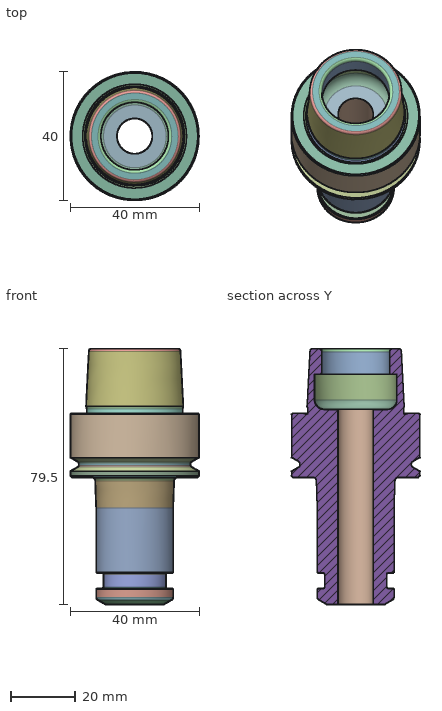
import cadquery as cq
import math


total_height = 79.5
through_bore_diameter = 10.9

pilot_diameter = 24.0
pilot_groove_diameter = 19.5
pilot_groove_bottom = 5.1
pilot_groove_top = 9.8
pilot_groove_fillet = 0.4
pilot_groove_chamfer = 0.3
nose_diameter = 18.0
nose_angle = 30.0
nose_fillet = 1.0

neck_bottom = 30.1
neck_top_diameter = 24.65
neck_fillet = 0.95

flange_diameter = 40.0
flange_thickness = 20.0
flange_top = total_height - flange_thickness
flange_bottom = flange_top - flange_thickness
flange_top_chamfer = 0.4
flange_bottom_chamfer = 0.55
gripper_groove_height = 43.6
gripper_groove_diameter = 34.8
gripper_groove_opening = 4.2
gripper_groove_flank_angle = 30.0
gripper_groove_fillet = 0.6

relief_outer_diameter = 32.3
relief_bottom_diameter = 31.0
relief_depth = 0.2
relief_fillet = 0.4

collar_diameter = 29.9
collar_top = 60.9
taper_bottom = 61.5
taper_bottom_diameter = 30.3
taper_top_diameter = 28.5
taper_top_fillet = 0.8

mouth_diameter = 21.0
mouth_fillet = 0.95
mouth_depth = 8.0
chamber_diameter = 25.5
chamber_depth = 18.85
chamber_fillet = 3.0


def turned_solid(corners):
    """Revolve a closed outline of (diameter, height, fillet radius) corners about Z.

    The first and last corners lie on the axis and are sharp.
    """
    points = [cq.Vector(diameter / 2, height) for diameter, height, _ in corners]
    outline = cq.Workplane("XZ").moveTo(points[0].x, points[0].y)
    for index in range(1, len(corners)):
        corner = points[index]
        radius = corners[index][2]
        if radius == 0:
            outline = outline.lineTo(corner.x, corner.y)
            continue
        to_previous = (points[index - 1] - corner).normalized()
        to_next = (points[index + 1] - corner).normalized()
        half_angle = to_previous.getAngle(to_next) / 2
        setback = radius / math.tan(half_angle)
        start = corner + to_previous * setback
        end = corner + to_next * setback
        bisector = (to_previous + to_next).normalized()
        middle = corner + bisector * (radius / math.sin(half_angle) - radius)
        outline = outline.lineTo(start.x, start.y)
        outline = outline.threePointArc((middle.x, middle.y), (end.x, end.y))
    return outline.close().revolve(360, (0, 0, 0), (0, 1, 0))


def rise(large_diameter, small_diameter, angle):
    """Height of a cone whose side makes the given angle with the horizontal."""
    return (large_diameter - small_diameter) / 2 * math.tan(math.radians(angle))


def holder_body():
    nose_height = rise(pilot_diameter, nose_diameter, nose_angle)
    pilot_rim_diameter = pilot_diameter - 2 * pilot_groove_chamfer
    pilot = [
        (0, 0, 0),
        (nose_diameter, 0, 0),
        (pilot_diameter, nose_height, nose_fillet),
        (pilot_diameter, pilot_groove_bottom - pilot_groove_chamfer, 0),
        (pilot_rim_diameter, pilot_groove_bottom, 0),
        (pilot_groove_diameter, pilot_groove_bottom, pilot_groove_fillet),
        (pilot_groove_diameter, pilot_groove_top, pilot_groove_fillet),
        (pilot_rim_diameter, pilot_groove_top, 0),
        (pilot_diameter, pilot_groove_top + pilot_groove_chamfer, 0),
        (pilot_diameter, neck_bottom, 0),
        (neck_top_diameter, flange_bottom, neck_fillet),
    ]

    half_opening = gripper_groove_opening / 2
    half_root = half_opening - rise(flange_diameter, gripper_groove_diameter, gripper_groove_flank_angle)
    flange = [
        (flange_diameter - 2 * flange_bottom_chamfer, flange_bottom, 0),
        (flange_diameter, flange_bottom + flange_bottom_chamfer, 0),
        (flange_diameter, gripper_groove_height - half_opening, 0),
        (gripper_groove_diameter, gripper_groove_height - half_root, gripper_groove_fillet),
        (gripper_groove_diameter, gripper_groove_height + half_root, gripper_groove_fillet),
        (flange_diameter, gripper_groove_height + half_opening, 0),
        (flange_diameter, flange_top - flange_top_chamfer, 0),
        (flange_diameter - 2 * flange_top_chamfer, flange_top, 0),
    ]

    relief_bottom = flange_top - relief_depth
    shank = [
        (relief_outer_diameter, flange_top, 0),
        (relief_bottom_diameter, relief_bottom, 0),
        (collar_diameter, relief_bottom, relief_fillet),
        (collar_diameter, collar_top, 0),
        (taper_bottom_diameter, taper_bottom, 0),
        (taper_top_diameter, total_height, taper_top_fillet),
        (0, total_height, 0),
    ]
    return turned_solid(pilot + flange + shank)


def clamping_bore():
    mouth_bottom = total_height - mouth_depth
    chamber_floor = total_height - chamber_depth
    bore = [
        (0, 0, 0),
        (through_bore_diameter, 0, 0),
        (through_bore_diameter, chamber_floor, 0),
        (chamber_diameter, chamber_floor, chamber_fillet),
        (chamber_diameter, mouth_bottom, 0),
        (mouth_diameter, mouth_bottom, 0),
        (mouth_diameter, total_height, 0),
        (0, total_height, 0),
    ]
    return turned_solid(bore)


def rounded_mouth(holder):
    inner_edge = cq.selectors.RadiusNthSelector(0)
    return holder.faces(">Z").edges(inner_edge).fillet(mouth_fillet)


result = rounded_mouth(holder_body().cut(clamping_bore()))